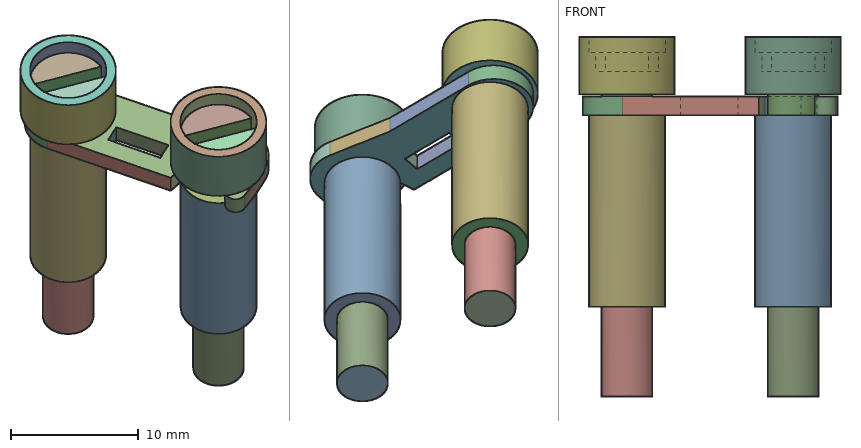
import cadquery as cq
import math

screw_spacing = 13.0
pin_radius = 2.0
shaft_radius = 2.98
head_radius = 3.75
pin_length = 7.0
shaft_length = 15.0
total_height = 28.15
head_height = 4.5
recess_radius = 2.98
recess_depth = 1.2
driver_slot_width = 1.1
driver_slot_depth = 1.5
driver_slot_angle = 45.0

plate_thickness = 1.5
plate_half_width = 3.1
left_end_center_x = -0.37
lobe_radius = 3.05
lobe_center = (13.48, 1.07)
slope_start_x = 7.63

opening_inner_radius = 10.78
opening_outer_radius = 14.9
hook_outer_radius = lobe_center[0] + lobe_radius

window_length = 4.5
window_width = 1.5
window_start_x = 4.17

shoulder_z = pin_length + shaft_length
head_bottom_z = total_height - head_height


def cylinder(radius, bottom, top):
    return cq.Workplane("XY").workplane(offset=bottom).circle(radius).extrude(top - bottom)


def swing_point(radius, y):
    """Point at the given Y on a circle about the left screw."""
    return (math.sqrt(radius**2 - y**2), y)


def lobe_point(angle):
    """Point on the rounded lobe at an angle in radians from +X."""
    return (
        lobe_center[0] + lobe_radius * math.cos(angle),
        lobe_center[1] + lobe_radius * math.sin(angle),
    )


def make_screw():
    screw = cylinder(pin_radius, 0, total_height)
    screw = screw.union(cylinder(shaft_radius, pin_length, shoulder_z))
    screw = screw.union(cylinder(head_radius, head_bottom_z, total_height))
    recess_floor = total_height - recess_depth
    slot_floor = recess_floor - driver_slot_depth
    driver_slot = (
        cq.Workplane("XY")
        .workplane(offset=slot_floor)
        .transformed(rotate=(0, 0, driver_slot_angle))
        .rect(2 * head_radius, driver_slot_width)
        .extrude(driver_slot_depth)
        .intersect(cylinder(recess_radius, slot_floor, recess_floor))
    )
    return screw.cut(cylinder(recess_radius, recess_floor, total_height)).cut(driver_slot)


def make_plate():
    run = lobe_center[0] - slope_start_x
    drop = plate_half_width - lobe_center[1]
    tangent_angle = math.atan2(drop, -run) - math.acos(lobe_radius / math.hypot(run, drop))

    tip_radius = (hook_outer_radius - opening_outer_radius) / 2
    tip_y = tip_radius - plate_half_width
    tip_inner = swing_point(opening_outer_radius, tip_y)
    tip_outer = swing_point(hook_outer_radius, tip_y)
    tip_bottom = ((tip_inner[0] + tip_outer[0]) / 2, -plate_half_width)

    opening_radius = (opening_outer_radius - opening_inner_radius) / 2
    opening_top = ((opening_inner_radius + opening_outer_radius) / 2, opening_radius)

    plate = (
        cq.Workplane("XY")
        .workplane(offset=shoulder_z)
        .moveTo(left_end_center_x, plate_half_width)
        .lineTo(slope_start_x, plate_half_width)
        .lineTo(*lobe_point(tangent_angle))
        .threePointArc(lobe_point(tangent_angle / 2), lobe_point(0))
        .threePointArc(swing_point(hook_outer_radius, 0), tip_outer)
        .threePointArc(tip_bottom, tip_inner)
        .threePointArc(swing_point(opening_outer_radius, tip_y / 2), (opening_outer_radius, 0))
        .threePointArc(opening_top, (opening_inner_radius, 0))
        .threePointArc(
            swing_point(opening_inner_radius, -plate_half_width / 2),
            swing_point(opening_inner_radius, -plate_half_width),
        )
        .lineTo(left_end_center_x, -plate_half_width)
        .threePointArc((left_end_center_x - plate_half_width, 0), (left_end_center_x, plate_half_width))
        .close()
        .extrude(plate_thickness)
    )
    window = (
        cq.Workplane("XY")
        .workplane(offset=shoulder_z)
        .center(window_start_x, -window_width)
        .rect(window_length, window_width, centered=False)
        .extrude(plate_thickness)
    )
    return plate.cut(window)


left_screw = make_screw()
right_screw = left_screw.translate((screw_spacing, 0, 0))
result = make_plate().union(left_screw).union(right_screw)